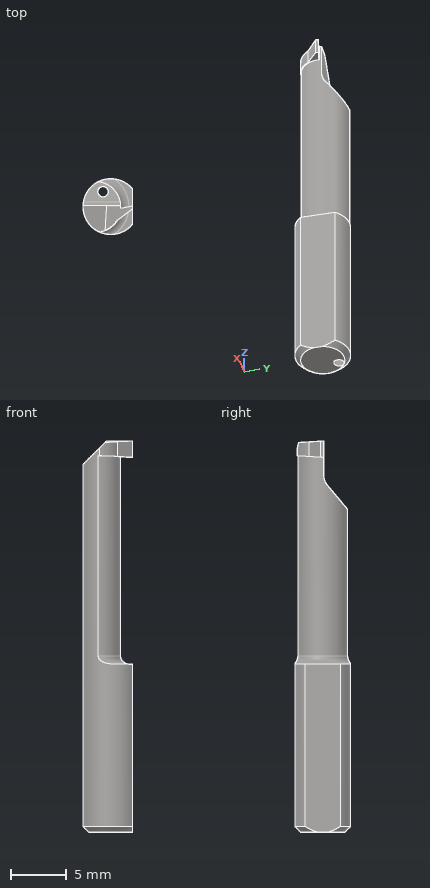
import cadquery as cq
import math

total_length = 35.0
shank_radius = 2.502
flat_x = 1.942
shank_top = 15.05
base_chamfer = 0.52

neck_radius = 2.25
neck_right_x = 0.88
neck_center_x = neck_right_x - neck_radius
neck_fillet = 0.75

tip_bottom = 33.53
tip_facet_x = 0.6
tip_land = 0.25
relief_angle = 3.5
rake_y = 0.052
chip_groove_x = 1.12
chip_groove_y = -0.1
head_step = 0.07
head_radius = neck_radius + head_step

clearance_y = 0.1
clearance_bottom = 31.92
clearance_radius = 1.4
clearance_angle = 40.0

bevel_start_x = -0.4

hole_x = -0.7
hole_y = 1.33
hole_diameter = 0.9

margin = 0.7


def make_bar():
    bar = cq.Workplane("XY").circle(shank_radius).extrude(total_length)
    bar = bar.faces("<Z").chamfer(base_chamfer)
    flat_cutter = cq.Workplane("XY").box(
        shank_radius, 4 * shank_radius, total_length, centered=(False, True, False)
    )
    return bar.cut(flat_cutter.translate((flat_x, 0, 0)))


def make_neck_envelope():
    """Revolved neck cylinder that flares into the top of the shank."""
    shank_reach = 3 * shank_radius
    flare_radius = neck_radius + neck_fillet
    mid_offset = neck_fillet * (1 - math.sqrt(0.5))
    profile = (
        cq.Workplane("XZ")
        .lineTo(shank_reach, 0)
        .lineTo(shank_reach, shank_top)
        .lineTo(flare_radius, shank_top)
        .threePointArc(
            (neck_radius + mid_offset, shank_top + mid_offset),
            (neck_radius, shank_top + neck_fillet),
        )
        .lineTo(neck_radius, total_length)
        .lineTo(0, total_length)
        .close()
    )
    return profile.revolve(360, (0, 0, 0), (0, 1, 0)).translate((neck_center_x, 0, 0))


def make_tip():
    """Head slightly proud of the neck, with a hooked cutting edge and a relieved underside."""
    facet_y = -math.sqrt(head_radius**2 - (tip_facet_x - neck_center_x) ** 2)
    head = (
        cq.Workplane("XY")
        .moveTo(neck_center_x, chip_groove_y)
        .lineTo(chip_groove_x, chip_groove_y)
        .lineTo(flat_x, rake_y)
        .lineTo(flat_x, rake_y - tip_land)
        .lineTo(tip_facet_x, facet_y)
        .radiusArc((neck_center_x, -head_radius), head_radius)
        .close()
        .extrude(total_length)
    )
    underside_rise = shank_radius * math.tan(math.radians(relief_angle))
    side = (
        cq.Workplane("YZ")
        .polyline(
            [
                (rake_y, tip_bottom),
                (rake_y, total_length),
                (rake_y - shank_radius, total_length),
                (rake_y - shank_radius, tip_bottom + underside_rise),
            ]
        )
        .close()
        .extrude(2 * shank_radius, both=True)
    )
    return head.intersect(side).intersect(make_bar())


def make_top_relief():
    """Thin wedge that lets the top face fall away behind the cutting edge."""
    drop = 2 * shank_radius * math.tan(math.radians(relief_angle))
    back_y = rake_y - 2 * shank_radius
    return (
        cq.Workplane("YZ")
        .polyline([(rake_y, total_length), (back_y, total_length), (back_y, total_length - drop)])
        .close()
        .extrude(2 * shank_radius, both=True)
    )


def make_clearance():
    """Upright face, blended by an arc into a slope that runs out through +Y."""
    angle = math.radians(clearance_angle)
    arc_center_y = clearance_y + clearance_radius

    def arc_point(turn):
        return (
            arc_center_y - clearance_radius * math.cos(turn),
            clearance_bottom - clearance_radius * math.sin(turn),
        )

    slope_start = arc_point(angle)
    outer_y = shank_radius + margin
    outer_z = slope_start[1] - (outer_y - slope_start[0]) / math.tan(angle)
    return (
        cq.Workplane("YZ")
        .moveTo(clearance_y, total_length + margin)
        .lineTo(clearance_y, clearance_bottom)
        .threePointArc(arc_point(angle / 2), slope_start)
        .lineTo(outer_y, outer_z)
        .lineTo(outer_y, total_length + margin)
        .close()
        .extrude(2 * shank_radius, both=True)
    )


def make_bevel():
    """45 degree cut across the -X shoulder of the head."""
    run = 2 * shank_radius
    return (
        cq.Workplane("XZ")
        .polyline(
            [
                (bevel_start_x, total_length),
                (bevel_start_x - run, total_length),
                (bevel_start_x - run, total_length - run),
            ]
        )
        .close()
        .extrude(2 * shank_radius, both=True)
    )


def make_coolant_hole():
    return (
        cq.Workplane("XY")
        .center(hole_x, hole_y)
        .circle(hole_diameter / 2)
        .extrude(total_length)
    )


result = (
    make_bar()
    .intersect(make_neck_envelope())
    .union(make_tip())
    .cut(make_clearance())
    .cut(make_top_relief())
    .cut(make_bevel())
    .cut(make_coolant_hole())
)